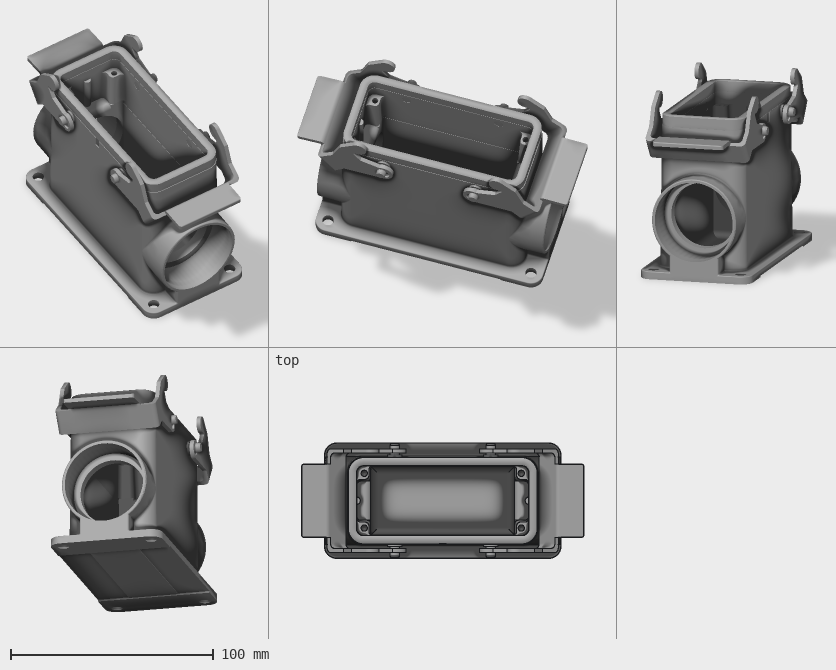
import cadquery as cq
import math

base_length, base_width, base_height = 116.9, 57.0, 3.9
base_corner_radius = 6.1
base_edge_round = 0.4
mount_hole_diameter = 5.6
foot_recess_length, foot_recess_depth = 77.5, 0.7

body_length, body_width = 95.1, 44.4
body_draft = 0.5
body_corner_radius = 7.7
body_foot_round = 0.7
shoulder_z = 74.9
rim_length, rim_width, rim_wall = 93.3, 42.7, 4.0
rim_corner_radius = 7.5
rim_edge_z, rim_top_z = 80.2, 80.8

cavity_length = rim_length - 2 * rim_wall
cavity_width = rim_width - 2 * rim_wall
cavity_corner_radius = rim_corner_radius - rim_wall
throat_length = 71.1
wall_step = 0.1
well_length, well_width = cavity_length - 2 * wall_step, cavity_width - 2 * wall_step
post_foot_x, post_foot_y = 35.6, 9.6
post_top_z, post_draft = 68.8, 3.0
post_corner_radius = 2.0
ledge_z, ledge_round = 51.0, 2.7
floor_z, floor_round = 2.8, 3.6
screw_x, screw_y = 38.8, 13.5
screw_diameter, screw_depth = 3.0, 11.2
screw_tip_depth = 1.0
rib_diameter, rib_top_z = 3.8, 68.4
mark_width, mark_height, mark_depth = 3.0, 4.9, 0.7

entry_z = 30.0
entry_end_radius, entry_root_radius = 21.6, 21.9
entry_edge_round, entry_root_round = 0.5, 0.8
entry_bore_diameter, entry_bore_end_x = 40.0, 41.0
entry_hole_diameter = 33.0
web_width, web_edge_round = 25.1, 0.8

pin_x, pin_z = 23.7, 70.7
pin_diameter, pin_tip_diameter, pin_tip_length = 4.7, 4.0, 0.8
pin_end_y = 28.0
pad_diameter, pad_end_y = 7.0, 22.6
pin_dimple_depth = 0.1

lever_width, sheet = 51.3, 2.1
lever_bend_radius = 2.4
right_lever_turn = 1.0
bridge_angle = 52.0
bridge_length = 12.5
bridge_foot = (-49.4, 59.5)
eye_center, eye_radius = (-22.9, 69.6), 4.7
slot_end = (-22.2, 68.8)
hook_center, hook_radius = (-35.6, 86.3), 4.0
handle_width, handle_corner_radius, handle_tip_round = 36.3, 1.4, 0.5
handle_tip_x, handle_top_z, handle_tilt_drop = -69.7, 72.1, 0.3
heel_x = -43.2
eye_neck_angle, hook_back_angle = 115.0, 124.0
neck_corner = (-34.6, 76.6)
throat_start, throat_middle, throat_end_x = (-38.0, 80.9), (-38.0, 82.0), -37.0
back_upper_corner, back_lower_corner = (-45.2, 84.4), (-49.1, 75.2)


def rounded_block(length, width, radius, z_low, z_high):
    return (
        cq.Workplane("XY", origin=(0, 0, z_low))
        .rect(length, width)
        .extrude(z_high - z_low)
        .edges("|Z").fillet(radius)
    )


def block(length, width, z_low, z_high):
    return cq.Workplane("XY", origin=(0, 0, z_low)).rect(length, width).extrude(z_high - z_low)


def make_base():
    base = rounded_block(base_length, base_width, base_corner_radius, 0, base_height)
    base = base.faces(">Z").edges().fillet(base_edge_round)
    hole_x = base_length / 2 - base_corner_radius
    hole_y = base_width / 2 - base_corner_radius
    holes = (
        cq.Workplane("XY")
        .rect(2 * hole_x, 2 * hole_y, forConstruction=True)
        .vertices().circle(mount_hole_diameter / 2)
        .extrude(base_height)
    )
    half = foot_recess_length / 2
    recess = (
        cq.Workplane("XZ")
        .polyline([(-half, 0), (half, 0),
                   (half - foot_recess_depth, foot_recess_depth),
                   (foot_recess_depth - half, foot_recess_depth)])
        .close().extrude(base_width / 2, both=True)
    )
    return base.cut(holes).cut(recess)


def make_body():
    """Drafted shell block, still solid, seated on the base flange."""
    return (
        cq.Workplane("XY", origin=(0, 0, base_height))
        .rect(body_length, body_width)
        .extrude(shoulder_z - base_height, taper=body_draft)
        .edges("not(#Z)").fillet(body_corner_radius)
    )


def make_rim():
    """Upright rim whose top is a shallow dome running all the way round."""
    rim = rounded_block(rim_length, rim_width, rim_corner_radius, shoulder_z, rim_edge_z)
    path_length, path_width = rim_length - rim_wall, rim_width - rim_wall
    path = (
        rounded_block(path_length, path_width, rim_corner_radius - rim_wall / 2, rim_edge_z, rim_top_z)
        .faces("<Z").wires()
    )
    dome = (
        cq.Workplane("YZ", origin=(0, -path_width / 2, rim_edge_z))
        .moveTo(-rim_wall / 2, 0)
        .threePointArc((0, rim_top_z - rim_edge_z), (rim_wall / 2, 0))
        .close().sweep(path)
    )
    return rim.union(dome)


def make_well():
    """Hollow between the four screw posts, which widen towards the ledge."""
    well = block(well_length, well_width, ledge_z, post_top_z)
    post_length, post_width = base_length - 2 * post_foot_x, base_width - 2 * post_foot_y
    for x in (-base_length / 2, base_length / 2):
        for y in (-base_width / 2, base_width / 2):
            post = (
                cq.Workplane("XY", origin=(x, y, ledge_z))
                .rect(post_length, post_width)
                .extrude(post_top_z - ledge_z, taper=post_draft)
            )
            well = well.cut(post)
    return well.edges("not(#Z)").fillet(post_corner_radius)


def make_cavity():
    """Everything that is hollow above the floor."""
    throat_top_z = ledge_z - ledge_round
    pit_width = well_width - 2 * wall_step
    pit = block(throat_length, pit_width, floor_z, throat_top_z).faces("<Z").edges().fillet(floor_round)
    cavity = (
        rounded_block(cavity_length, cavity_width, cavity_corner_radius, shoulder_z, rim_top_z)
        .union(rounded_block(well_length, well_width, cavity_corner_radius, post_top_z, shoulder_z))
        .union(make_well())
        .union(block(throat_length, well_width, throat_top_z, ledge_z))
        .union(pit)
    )
    edge_x = throat_length / 2
    mid = ledge_round * (1 - math.sqrt(0.5))
    for side in (-1, 1):
        lip = (
            cq.Workplane("XZ")
            .moveTo(side * edge_x, ledge_z - ledge_round)
            .threePointArc((side * (edge_x + mid), ledge_z - mid), (side * (edge_x + ledge_round), ledge_z))
            .lineTo(side * edge_x, ledge_z)
            .close().extrude(post_foot_y, both=True)
        )
        cavity = cavity.union(lip)
        rib = (
            cq.Workplane("XY", origin=(side * cavity_length / 2, 0, ledge_z))
            .circle(rib_diameter / 2).extrude(rib_top_z - ledge_z)
        )
        cavity = cavity.cut(rib)
    return cavity


def make_screw_hole(x, y):
    radius = screw_diameter / 2
    return (
        cq.Workplane("XZ", origin=(x, y, post_top_z))
        .polyline([(0, 0), (radius, 0), (radius, -screw_depth), (0, -screw_depth - screw_tip_depth)])
        .close().revolve(360, (0, 0), (0, 1))
    )


def make_entry(side):
    """Slightly tapered tube that runs from the end of the base into the body."""
    root_x = body_length / 2 - body_corner_radius
    tube = cq.Workplane(obj=cq.Solid.makeCone(
        entry_root_radius, entry_end_radius, base_length / 2 - root_x,
        pnt=cq.Vector(side * root_x, 0, entry_z), dir=cq.Vector(side, 0, 0),
    ))
    return tube.faces(">X" if side > 0 else "<X").edges().fillet(entry_edge_round)


def make_entry_hole(side):
    bore = (
        cq.Workplane("YZ", origin=(side * entry_bore_end_x, 0, entry_z))
        .circle(entry_bore_diameter / 2).extrude(side * base_length / 2)
    )
    passage = (
        cq.Workplane("YZ", origin=(0, 0, entry_z))
        .circle(entry_hole_diameter / 2).extrude(side * base_length / 2)
    )
    return bore.union(passage)


def make_pin(x, side):
    """Pivot pin with its round pad, starting inside the shell wall."""
    root_y = (cavity_width + rim_wall) / 2
    plane = cq.Plane(origin=(x, side * root_y, pin_z), xDir=(1, 0, 0), normal=(0, side, 0))
    pad = cq.Workplane(plane).circle(pad_diameter / 2).extrude(pad_end_y - root_y)
    shaft = (
        cq.Workplane(plane).circle(pin_diameter / 2).extrude(pin_end_y - root_y)
        .faces(">Y" if side > 0 else "<Y")
        .chamfer(pin_tip_length, (pin_diameter - pin_tip_diameter) / 2)
    )
    return pad.union(shaft)


def make_housing():
    housing = make_base().union(make_body())
    for side in (-1, 1):
        housing = housing.union(make_entry(side))
        inner_x, outer_x = sorted((side * throat_length / 2, side * (body_length / 2 + 0.1)))
        around_entry = cq.selectors.BoxSelector(
            (inner_x, -body_width / 2, base_height + 0.1),
            (outer_x, body_width / 2, entry_z + body_width / 2),
        )
        housing = housing.edges(around_entry).edges("not(%LINE)").fillet(entry_root_round)
    web = block(base_length, web_width, base_edge_round, entry_z).edges("|Z").fillet(web_edge_round)
    housing = housing.union(web)
    around_foot = cq.selectors.BoxSelector(
        (-base_length / 2 + web_edge_round, -body_width / 2 - 0.1, base_height - 0.1),
        (base_length / 2 - web_edge_round, body_width / 2 + 0.1, base_height + 0.1),
    )
    housing = housing.edges(around_foot).fillet(body_foot_round).union(make_rim())
    housing = housing.cut(make_cavity())
    for side in (-1, 1):
        housing = housing.cut(make_entry_hole(side))
        for x in (-screw_x, screw_x):
            housing = housing.cut(make_screw_hole(x, side * screw_y))
        for x in (-pin_x, pin_x):
            housing = housing.union(make_pin(x, side))
            dimple = (
                cq.Workplane("XZ", origin=(x, 0, pin_z))
                .circle(pin_diameter / 2)
                .extrude(-side * (well_width / 2 + pin_dimple_depth))
            )
            housing = housing.cut(dimple)
    mark = (
        cq.Workplane("XY")
        .box(mark_width, 2 * mark_depth, mark_height, centered=(True, True, False))
        .translate((0, -rim_width / 2 - 0.4, shoulder_z - mark_height))
    )
    return housing.cut(mark)


def bridge_point(along, inward):
    """Point in XZ measured up the bridge plate and inward from its outer face."""
    angle = math.radians(bridge_angle)
    return (
        bridge_foot[0] - along * math.cos(angle) + inward * math.sin(angle),
        bridge_foot[1] + along * math.sin(angle) + inward * math.cos(angle),
    )


def on_circle(center, radius, degrees):
    angle = math.radians(degrees)
    return (center[0] + radius * math.cos(angle), center[1] + radius * math.sin(angle))


def make_lever_profile():
    """Outline of a side plate, including the edge of the bridge plate."""
    eye_bottom_z = eye_center[1] - eye_radius
    hook_bottom_z = hook_center[1] - hook_radius
    return (
        cq.Workplane("XZ")
        .moveTo(*bridge_foot)
        .lineTo(heel_x, eye_bottom_z)
        .lineTo(eye_center[0], eye_bottom_z)
        .threePointArc(on_circle(eye_center, eye_radius, 0), on_circle(eye_center, eye_radius, eye_neck_angle))
        .lineTo(*neck_corner)
        .lineTo(*throat_start)
        .threePointArc(throat_middle, (throat_end_x, hook_bottom_z))
        .lineTo(hook_center[0], hook_bottom_z)
        .threePointArc(on_circle(hook_center, hook_radius, 0), on_circle(hook_center, hook_radius, hook_back_angle))
        .lineTo(*back_upper_corner)
        .lineTo(*back_lower_corner)
        .lineTo(*bridge_point(bridge_length, 0))
        .close()
    )


def make_handle():
    """Flat grip with its bend, overlapping the middle of the bridge plate."""
    tip_top_z = handle_top_z - handle_tilt_drop
    inner_rise = (handle_top_z - bridge_point(0, sheet)[1]) / math.sin(math.radians(bridge_angle))
    outer_rise = (handle_top_z - sheet - bridge_foot[1]) / math.sin(math.radians(bridge_angle))
    handle = (
        cq.Workplane("XZ")
        .polyline([
            (handle_tip_x, tip_top_z),
            bridge_point(inner_rise, sheet),
            bridge_point(bridge_length / 2, sheet),
            bridge_point(bridge_length / 2, 0),
            bridge_point(outer_rise, 0),
            (handle_tip_x, tip_top_z - sheet),
        ])
        .close().extrude(handle_width / 2, both=True)
    )
    bend_x, bend_z = bridge_point(inner_rise, sheet)
    handle = handle.edges(cq.selectors.NearestToPointSelector((bend_x, 0, bend_z))).fillet(lever_bend_radius)
    handle = handle.edges(cq.selectors.NearestToPointSelector((handle_tip_x, 0, tip_top_z))).fillet(handle_tip_round)
    plan = rounded_block(-2 * handle_tip_x, handle_width, handle_corner_radius, 0, handle_top_z)
    return handle.intersect(plan)


def make_lever():
    """Left-hand lever: two hooked side plates, a bridge plate and a handle."""
    half_width = lever_width / 2
    lever = make_lever_profile().extrude(half_width, both=True)
    for side in (-1, 1):
        x, z = bridge_point(bridge_length / 2, 0)
        corner = cq.selectors.NearestToPointSelector((x, side * half_width, z))
        lever = lever.edges(corner).fillet(lever_bend_radius)
    gap = (
        cq.Workplane("XZ")
        .polyline([
            bridge_point(-2 * bridge_length, sheet),
            bridge_point(3 * bridge_length, sheet),
            bridge_point(3 * bridge_length, lever_width),
            bridge_point(-2 * bridge_length, lever_width),
        ])
        .close().extrude(half_width - sheet, both=True)
    )
    rise = slot_end[1] - pin_z
    run = slot_end[0] + pin_x
    slot = (
        cq.Workplane("XZ", origin=((slot_end[0] - pin_x) / 2, 0, (slot_end[1] + pin_z) / 2))
        .slot2D(math.hypot(run, rise) + pin_diameter, pin_diameter, math.degrees(math.atan2(rise, run)))
        .extrude(half_width, both=True)
    )
    for side in (-1, 1):
        x, z = bridge_point(bridge_length / 2, sheet)
        corner = cq.selectors.NearestToPointSelector((x, side * (half_width - sheet), z))
        gap = gap.edges(corner).fillet(lever_bend_radius)
    return lever.cut(gap).cut(slot).union(make_handle())


housing = make_housing()
left_lever = make_lever()
right_lever = (
    make_lever().mirror("YZ")
    .rotate((pin_x, 0, pin_z), (pin_x, 1, pin_z), right_lever_turn)
)

result = cq.Compound.makeCompound([housing.val(), left_lever.val(), right_lever.val()])